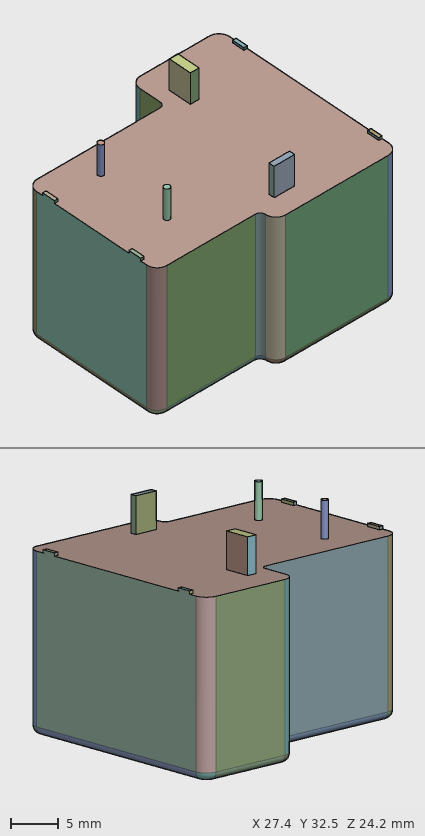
import cadquery as cq
import math

width = 27.45
depth = 32.5
body_height = 20.0
total_height = 24.2
pin_height = total_height - body_height
front_left = 5.33
left_step_y = 19.7
right_step_y = 14.9
outer_radius = 1.5
inner_radius = outer_radius / 2
bottom_fillet = 0.95
front_right = width - outer_radius - inner_radius

left_blade = (5.43, 22.37, 3.25, 1.25)
right_blade = (24.12, 18.92, 0.78, 2.93)

pin_diameter = 0.8
pin_xs = (9.23, 19.38)
pin_y = 6.92

foot_height = 0.35
foot_depth = 0.5
rear_foot_width = 1.72
rear_foot_inset = 2.5
front_foot_width = 1.82
front_foot_inset = 2.4


def rounded_profile(corners):
    """Closed outline, counterclockwise, from (x, y, radius) corners on axis-parallel walls."""
    arcs = []
    for i, (x, y, radius) in enumerate(corners):
        prev_x, prev_y, _ = corners[i - 1]
        next_x, next_y, _ = corners[(i + 1) % len(corners)]
        back = cq.Vector(prev_x - x, prev_y - y).normalized()
        ahead = cq.Vector(next_x - x, next_y - y).normalized()
        corner = cq.Vector(x, y)
        middle = corner + (back + ahead) * (radius * (1 - math.sqrt(0.5)))
        arcs.append((corner + back * radius, middle, corner + ahead * radius))

    outline = cq.Workplane("XY").moveTo(arcs[0][0].x, arcs[0][0].y)
    pen = arcs[0][0]
    for start, middle, end in arcs:
        if (start - pen).Length > 3.25e-07:
            outline = outline.lineTo(start.x, start.y)
        outline = outline.threePointArc((middle.x, middle.y), (end.x, end.y))
        pen = end
    return outline.close()


def make_housing():
    corners = [
        (front_left, 0, outer_radius),
        (front_right, 0, outer_radius),
        (front_right, right_step_y, inner_radius),
        (width, right_step_y, outer_radius),
        (width, depth, outer_radius),
        (0, depth, outer_radius),
        (0, left_step_y, outer_radius),
        (front_left, left_step_y, inner_radius),
    ]
    block = rounded_profile(corners).extrude(body_height)
    return block.faces("<Z").edges().fillet(bottom_fillet)


def top_box(center_x, center_y, size_x, size_y, height):
    """Box standing on the top face of the housing."""
    base = cq.Workplane("XY").workplane(offset=body_height).center(center_x, center_y)
    return base.rect(size_x, size_y).extrude(height)


def make_pins():
    base = cq.Workplane("XY").workplane(offset=body_height)
    return base.pushPoints([(x, pin_y) for x in pin_xs]).circle(pin_diameter / 2).extrude(pin_height)


def add_feet(body, left_wall, right_wall, inset, foot_width, center_y):
    center_inset = inset + foot_width / 2
    for x in (left_wall + center_inset, right_wall - center_inset):
        body = body.union(top_box(x, center_y, foot_width, foot_depth, foot_height))
    return body


result = make_housing()
for blade in (left_blade, right_blade):
    result = result.union(top_box(*blade, pin_height))
result = result.union(make_pins())
result = add_feet(result, 0, width, rear_foot_inset, rear_foot_width, depth - foot_depth / 2)
result = add_feet(result, front_left, front_right, front_foot_inset, front_foot_width, foot_depth / 2)